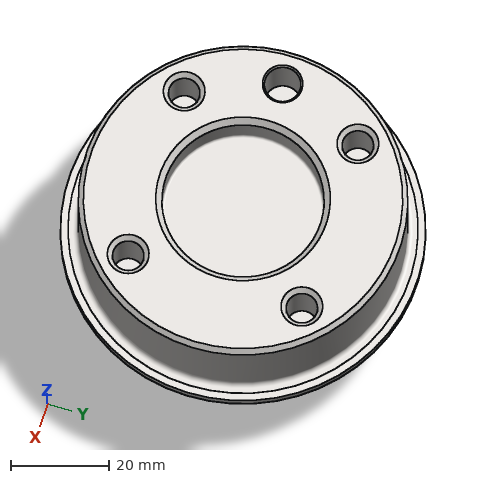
import cadquery as cq
import math

flange_radius = 37.2
drum_radius = 33.6
collar_radius = 34.6
skirt_radius = 32.0
total_height = 31.85
skirt_height = 10.5
collar_height = 1.6
flange_thickness = 2.0
land_radius = 35.65
land_height = 0.1
drum_top_chamfer = 1.05
drum_foot_fillet = 1.05
skirt_fillet = 0.5

bore_radius = 16.5
bore_depth = 7.4
bore_mouth_chamfer = 1.3
bore_floor_fillet = 0.5

hole_circle_radius = 26.3
hole_depth = 11.2
bolt_hole_radius = 3.2
bolt_hole_chamfer = 1.05
bolt_hole_angles = (45, 135, 225, 315)
locating_hole_radius = 3.7
locating_hole_chamfer = 0.4
locating_hole_angle = 180

collar_top = skirt_height + collar_height
flange_top = collar_top + flange_thickness
land_top = flange_top + land_height


def concave_fillet_midpoint(wall_radius, face_height, fillet_radius, side):
    """Middle of a fillet between a wall and a flat face; side is 1 above the face, -1 below it."""
    inset = fillet_radius * (1 - math.sqrt(0.5))
    return wall_radius + inset, face_height + side * inset


def make_body():
    """Revolve the half section of skirt, collar, flange, raised land and drum about Z."""
    skirt_blend = concave_fillet_midpoint(skirt_radius, skirt_height, skirt_fillet, -1)
    drum_blend = concave_fillet_midpoint(drum_radius, land_top, drum_foot_fillet, 1)
    section = (
        cq.Workplane("XZ")
        .lineTo(skirt_radius, 0)
        .lineTo(skirt_radius, skirt_height - skirt_fillet)
        .threePointArc(skirt_blend, (skirt_radius + skirt_fillet, skirt_height))
        .lineTo(collar_radius, skirt_height)
        .lineTo(collar_radius, collar_top)
        .lineTo(flange_radius, collar_top)
        .lineTo(flange_radius, flange_top)
        .lineTo(land_radius, flange_top)
        .lineTo(land_radius, land_top)
        .lineTo(drum_radius + drum_foot_fillet, land_top)
        .threePointArc(drum_blend, (drum_radius, land_top + drum_foot_fillet))
        .lineTo(drum_radius, total_height - drum_top_chamfer)
        .lineTo(drum_radius - drum_top_chamfer, total_height)
        .lineTo(0, total_height)
        .close()
    )
    return section.revolve(360, (0, 0, 0), (0, 1, 0))


def make_blind_hole(radius, depth, mouth_chamfer):
    """Cutter for a flat-bottomed hole on the Z axis, chamfered where it meets the top face."""
    shaft = cq.Workplane("XY").workplane(offset=total_height - depth).circle(radius).extrude(depth)
    mouth = (
        cq.Workplane("XY")
        .workplane(offset=total_height - mouth_chamfer)
        .circle(radius)
        .workplane(offset=mouth_chamfer)
        .circle(radius + mouth_chamfer)
        .loft()
    )
    return shaft.union(mouth)


def place_on_hole_circle(cutter, angle):
    """Move a cutter from the Z axis out to its angle on the hole circle."""
    return cutter.translate((hole_circle_radius, 0, 0)).rotate((0, 0, 0), (0, 0, 1), angle)


result = make_body()

bore = make_blind_hole(bore_radius, bore_depth, bore_mouth_chamfer)
result = result.cut(bore.faces("<Z").edges().fillet(bore_floor_fillet))

bolt_hole = make_blind_hole(bolt_hole_radius, hole_depth, bolt_hole_chamfer)
for bolt_hole_angle in bolt_hole_angles:
    result = result.cut(place_on_hole_circle(bolt_hole, bolt_hole_angle))

locating_hole = make_blind_hole(locating_hole_radius, hole_depth, locating_hole_chamfer)
result = result.cut(place_on_hole_circle(locating_hole, locating_hole_angle))